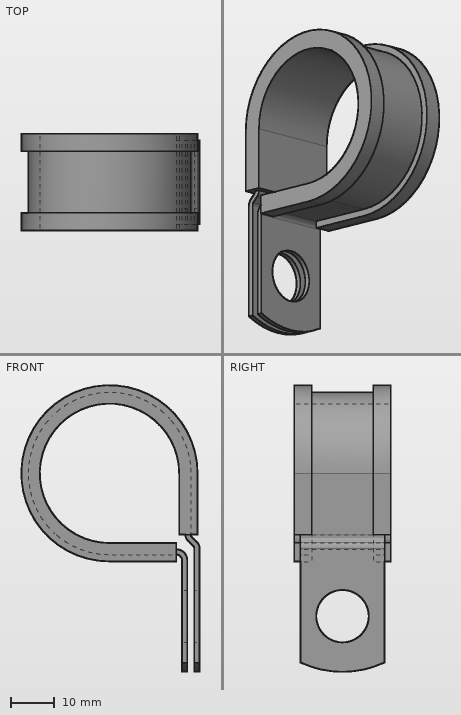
import cadquery as cq
import math

outer_radius = 20.105
cushion_thickness = 4.25
cushion_width = 22.1
lower_leg_end_x = 15.25
upper_leg_end_z = -14.0
groove_depth = 1.6
groove_width = 14.0

strap_thickness = 1.25
strap_width = 19.15
lower_bend_radius = 1.9
jog_bend_radius = 1.3
jog_angle = math.radians(45)
strap_outer_x = 20.56
tab_bottom_z = outer_radius - 65.4
tab_end_rise = 2.15
hole_diameter = 11.9
hole_center_z = -32.55

inner_radius = outer_radius - cushion_thickness
groove_radius = outer_radius - groove_depth
strap_radius = groove_radius - strap_thickness / 2


def leg_band(inside, outside, width):
    """Three-quarter ring with both legs, between two radii, centred on Y = 0."""
    diagonal = math.sqrt(0.5)
    return (
        cq.Workplane("XZ")
        .moveTo(outside, upper_leg_end_z)
        .lineTo(outside, 0)
        .threePointArc((-outside * diagonal, outside * diagonal), (0, -outside))
        .lineTo(lower_leg_end_x, -outside)
        .lineTo(lower_leg_end_x, -inside)
        .lineTo(0, -inside)
        .threePointArc((-inside * diagonal, inside * diagonal), (inside, 0))
        .lineTo(inside, upper_leg_end_z)
        .close()
        .extrude(width / 2, both=True)
    )


def make_cushion():
    body = leg_band(inner_radius, outer_radius, cushion_width)
    return body.cut(leg_band(groove_radius, outer_radius + groove_depth, groove_width))


def strap_path():
    """Middle line of the strap, from the lower tab round the ring to the outer tab."""
    diagonal = math.sqrt(0.5)
    lower_tab_x = lower_leg_end_x + lower_bend_radius
    outer_tab_x = strap_outer_x - strap_thickness / 2

    bend_shift = jog_bend_radius * (1 - math.cos(jog_angle))
    bend_drop = jog_bend_radius * math.sin(jog_angle)
    slope_shift = outer_tab_x - strap_radius - 2 * bend_shift
    slope_drop = slope_shift / math.tan(jog_angle)
    slope_top = (strap_radius + bend_shift, upper_leg_end_z - bend_drop)
    slope_bottom = (slope_top[0] + slope_shift, slope_top[1] - slope_drop)

    return (
        cq.Workplane("XZ")
        .moveTo(lower_tab_x, tab_bottom_z)
        .lineTo(lower_tab_x, -strap_radius - lower_bend_radius)
        .tangentArcPoint((lower_leg_end_x, -strap_radius), relative=False)
        .lineTo(0, -strap_radius)
        .threePointArc((-strap_radius * diagonal, strap_radius * diagonal), (strap_radius, 0))
        .lineTo(strap_radius, upper_leg_end_z)
        .tangentArcPoint(slope_top, relative=False)
        .lineTo(*slope_bottom)
        .tangentArcPoint((outer_tab_x, slope_bottom[1] - bend_drop), relative=False)
        .lineTo(outer_tab_x, tab_bottom_z)
    )


def make_strap():
    start_x = lower_leg_end_x + lower_bend_radius
    strap = (
        cq.Workplane("XY", origin=(start_x, 0, tab_bottom_z))
        .rect(strap_thickness, strap_width)
        .sweep(strap_path())
    )
    half_width = strap_width / 2
    corner_z = tab_bottom_z + tab_end_rise
    end_waste = (
        cq.Workplane("YZ")
        .moveTo(-half_width, corner_z)
        .threePointArc((0, tab_bottom_z), (half_width, corner_z))
        .lineTo(half_width, tab_bottom_z - tab_end_rise)
        .lineTo(-half_width, tab_bottom_z - tab_end_rise)
        .close()
        .extrude(strap_outer_x)
    )
    bolt_hole = (
        cq.Workplane("YZ")
        .center(0, hole_center_z)
        .circle(hole_diameter / 2)
        .extrude(strap_outer_x)
    )
    return strap.cut(end_waste).cut(bolt_hole)


result = make_cushion().union(make_strap())